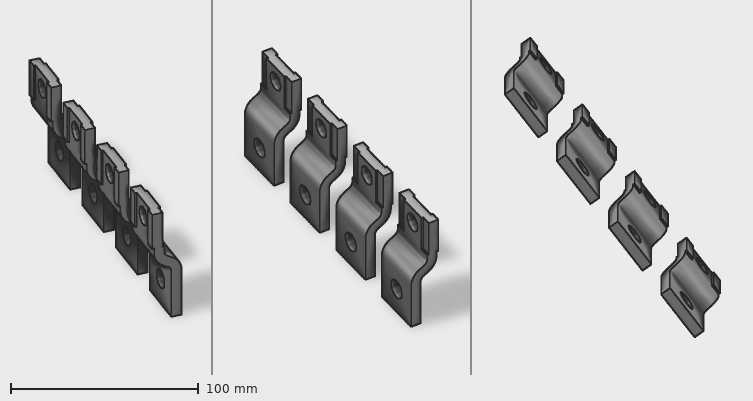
import cadquery as cq
import math

bracket_count = 4
row_length = 169.5
bracket_width = 30.0
pitch = (row_length - bracket_width) / (bracket_count - 1)

height = 66.6
thickness = 6.0
joggle = 10.0
bend_angle = math.radians(60)
inner_radius = 3.9
outer_radius = inner_radius + thickness
lower_leg_height = 28.5

pad_width = 6.0
pad_height = 21.5
pad_shift = 1.0

lower_hole_diameter = 11.0
lower_hole_z = 15.6
upper_hole_diameter = 10.5
upper_hole_z = 57.1

upper_front_y = pad_shift
upper_back_y = upper_front_y + thickness
lower_front_y = upper_front_y + joggle
lower_back_y = lower_front_y + thickness

bend_radii_sum = inner_radius + outer_radius
web_length = (joggle - bend_radii_sum * (1 - math.cos(bend_angle))) / math.sin(bend_angle)
bend_height = bend_radii_sum * math.sin(bend_angle) + web_length * math.cos(bend_angle)
lower_centre = (lower_front_y - inner_radius, lower_leg_height)
upper_centre = (upper_back_y + inner_radius, lower_leg_height + bend_height)


def lower_bend_point(radius, angle):
    """Point (Y, Z) on the lower bend, turned by angle from the lower leg."""
    y, z = lower_centre
    return (y + radius * math.cos(angle), z + radius * math.sin(angle))


def upper_bend_point(radius, angle):
    """Point (Y, Z) on the upper bend, turned by angle from the upper leg."""
    y, z = upper_centre
    return (y - radius * math.cos(angle), z - radius * math.sin(angle))


def make_strip():
    """Strip of constant thickness with an S-shaped joggle, extruded along X from X = 0."""
    half_angle = bend_angle / 2
    return (
        cq.Workplane("YZ")
        .moveTo(lower_front_y, 0)
        .lineTo(lower_back_y, 0)
        .lineTo(*lower_bend_point(outer_radius, 0))
        .threePointArc(
            lower_bend_point(outer_radius, half_angle), lower_bend_point(outer_radius, bend_angle)
        )
        .lineTo(*upper_bend_point(inner_radius, bend_angle))
        .threePointArc(
            upper_bend_point(inner_radius, half_angle), upper_bend_point(inner_radius, 0)
        )
        .lineTo(upper_back_y, height)
        .lineTo(upper_front_y, height)
        .lineTo(*upper_bend_point(outer_radius, 0))
        .threePointArc(
            upper_bend_point(outer_radius, half_angle), upper_bend_point(outer_radius, bend_angle)
        )
        .lineTo(*lower_bend_point(inner_radius, bend_angle))
        .threePointArc(
            lower_bend_point(inner_radius, half_angle), lower_bend_point(inner_radius, 0)
        )
        .close()
        .extrude(bracket_width)
    )


def shift_pads(strip):
    """Step both side strips of the upper leg toward -Y, keeping their thickness."""
    pad_bottom = height - pad_height
    for left in (0, bracket_width - pad_width):
        raised_front = cq.Workplane("XY").box(pad_width, thickness, pad_height, centered=False)
        back_recess = cq.Workplane("XY").box(pad_width, pad_shift, pad_height, centered=False)
        strip = strip.union(raised_front.translate((left, 0, pad_bottom)))
        strip = strip.cut(back_recess.translate((left, thickness, pad_bottom)))
    return strip


def make_hole(diameter, z):
    """Cutter along Y, on the middle of the bracket width, through the whole depth."""
    return (
        cq.Workplane("XZ")
        .center(bracket_width / 2, z)
        .circle(diameter / 2)
        .extrude(-lower_back_y)
    )


def make_bracket(left):
    """One joggled bracket whose -X side is at X = left."""
    bracket = shift_pads(make_strip())
    bracket = bracket.cut(make_hole(lower_hole_diameter, lower_hole_z))
    bracket = bracket.cut(make_hole(upper_hole_diameter, upper_hole_z))
    return bracket.translate((left, 0, 0))


brackets = [make_bracket(index * pitch).val() for index in range(bracket_count)]

result = cq.Compound.makeCompound(brackets)